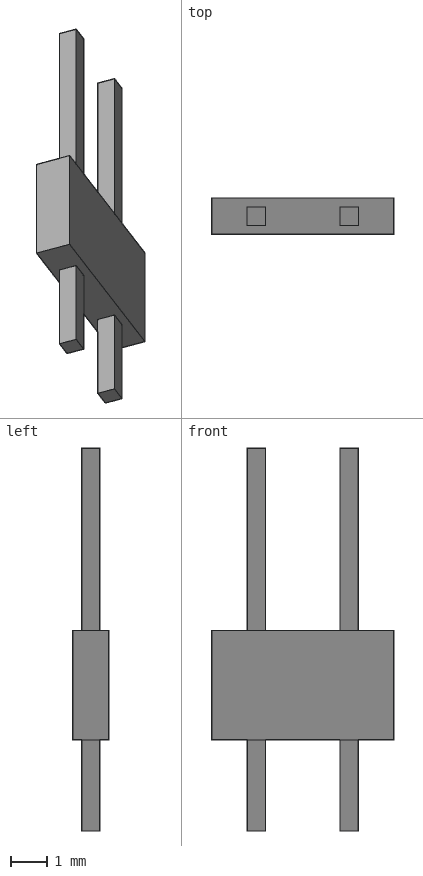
import cadquery as cq

total_height = 10.5
body_length = 5.0
body_depth = 1.0
body_height = 3.0
pin_width = 0.5
pin_pitch = 2.54
pin_tail = 2.5

result = cq.Workplane("XY").box(body_length, body_depth, body_height, centered=(True, True, False))

pins = (
    cq.Workplane("XY", origin=(0, 0, -pin_tail))
    .pushPoints([(-pin_pitch / 2, 0), (pin_pitch / 2, 0)])
    .rect(pin_width, pin_width)
    .extrude(total_height)
)
result = result.union(pins)